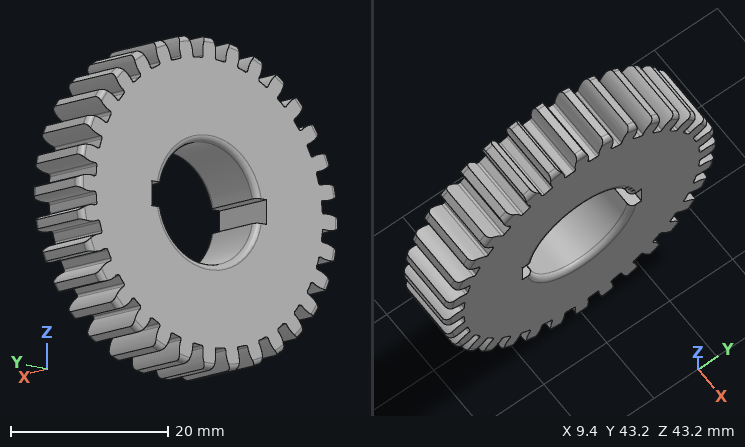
import cadquery as cq
import math

mm_per_inch = 25.4
diametral_pitch = 20
tooth_count = 32
module = mm_per_inch / diametral_pitch
dedendum = 1.25 * module
pressure_angle = math.radians(14.5)
pitch_radius = tooth_count * module / 2
tip_radius = pitch_radius + module
root_radius = pitch_radius - dedendum
base_radius = pitch_radius * math.cos(pressure_angle)
tooth_step = 2 * math.pi / tooth_count

foot_half_width = 0.99
foot_fillet = 0.3

face_width = 9.4
tip_edge_round = 0.762
bore_diameter = 15.875
bore_edge_round = 0.794
keyway_width = 3.2
keyway_span = 18.9


def involute(angle):
    """Polar angle gained by an involute at the given pressure angle."""
    return math.tan(angle) - angle


def polar(radius, angle):
    """Point at the given radius, turned clockwise from +Y by the given angle."""
    return (radius * math.sin(angle), radius * math.cos(angle))


def flank_angle(radius):
    """Half the angle that the tooth spans at the given radius."""
    local_angle = math.acos(base_radius / radius)
    return tooth_step / 4 + involute(pressure_angle) - involute(local_angle)


def foot_points():
    """Start, middle and end of the fillet from the foot of the +X flank to the root circle."""
    centre_radius = root_radius + foot_fillet
    offset_angle = math.asin(foot_fillet / centre_radius)
    wall_angle = math.asin(foot_half_width / root_radius)
    centre_angle = wall_angle + offset_angle
    centre = polar(centre_radius, centre_angle)
    start = polar(centre_radius * math.cos(offset_angle), wall_angle)
    end = polar(root_radius, centre_angle)
    towards_wall = wall_angle - math.pi / 2
    towards_root = centre_angle - math.pi
    middle_direction = polar(foot_fillet, (towards_wall + towards_root) / 2)
    middle = (centre[0] + middle_direction[0], centre[1] + middle_direction[1])
    return start, middle, end


def mirrored(point):
    """Point reflected across the tooth centreline."""
    return (-point[0], point[1])


def turned(point, angle):
    """Point rotated clockwise about the gear axis."""
    x, y = point
    return (
        x * math.cos(angle) + y * math.sin(angle),
        y * math.cos(angle) - x * math.sin(angle),
    )


def gear_outline():
    """Closed outline of all teeth; each flank is one arc through involute points at tip and middle."""
    flank_tip = polar(tip_radius, flank_angle(tip_radius))
    flank_middle_radius = (pitch_radius + base_radius) / 2
    flank_middle = polar(flank_middle_radius, flank_angle(flank_middle_radius))
    foot_start, foot_middle, foot_end = foot_points()

    outline = cq.Workplane("YZ", origin=(-face_width / 2, 0, 0)).moveTo(*mirrored(foot_end))
    for i in range(tooth_count):

        def place(point, angle=i * tooth_step):
            return turned(point, angle)

        root_middle = polar(root_radius, (i + 0.5) * tooth_step)
        next_foot = turned(mirrored(foot_end), (i + 1) * tooth_step)
        outline = (
            outline.threePointArc(place(mirrored(foot_middle)), place(mirrored(foot_start)))
            .threePointArc(place(mirrored(flank_middle)), place(mirrored(flank_tip)))
            .threePointArc(place((0, tip_radius)), place(flank_tip))
            .threePointArc(place(flank_middle), place(foot_start))
            .threePointArc(place(foot_middle), place(foot_end))
            .threePointArc(root_middle, next_foot)
        )
    return outline.close()


def rounded_disc():
    """Plain disc at the tip diameter with both outer edges rounded."""
    disc = cq.Workplane("YZ", origin=(-face_width / 2, 0, 0)).circle(tip_radius).extrude(face_width)
    return disc.edges().fillet(tip_edge_round)


def toothed_blank():
    """Extruded tooth outline with its tooth tips rounded at both faces."""
    return gear_outline().extrude(face_width).intersect(rounded_disc())


def bore_cutter():
    """Bore with edges flaring outward along a quarter round at each face."""
    bore_radius = bore_diameter / 2
    half_width = face_width / 2
    mouth_radius = bore_radius + bore_edge_round
    round_start = half_width - bore_edge_round
    diagonal = bore_edge_round * math.sqrt(0.5)
    middle_radius = mouth_radius - diagonal
    middle_x = round_start + diagonal
    return (
        cq.Workplane("XY")
        .moveTo(-half_width, 0)
        .lineTo(-half_width, mouth_radius)
        .threePointArc((-middle_x, middle_radius), (-round_start, bore_radius))
        .lineTo(round_start, bore_radius)
        .threePointArc((middle_x, middle_radius), (half_width, mouth_radius))
        .lineTo(half_width, 0)
        .close()
        .revolve(360, (0, 0, 0), (1, 0, 0))
    )


def keyway_cutter():
    """Single bar across the bore that leaves two opposite keyways along Y."""
    return cq.Workplane("XY").box(face_width, keyway_span, keyway_width)


result = toothed_blank().cut(bore_cutter()).cut(keyway_cutter())